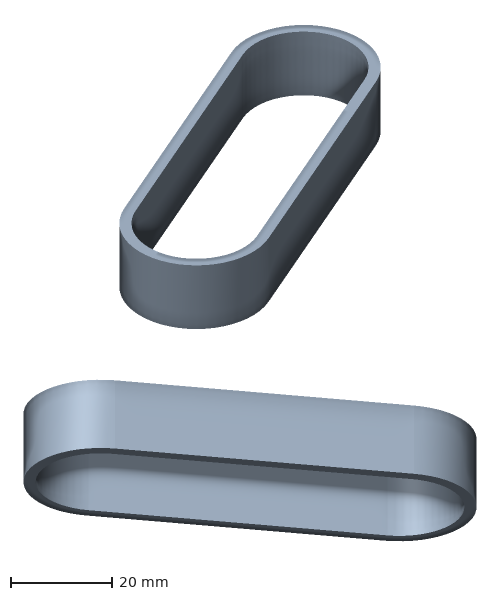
import cadquery as cq

outer_width = 30.41
center_distance = 60.0
wall_thickness = 2.4
height = 15.0

inner_width = outer_width - 2 * wall_thickness


def stadium_prism(width):
    """Round-ended prism along Y, standing on the XY plane."""
    overall_length = center_distance + width
    return cq.Workplane("XY").slot2D(overall_length, width, 90).extrude(height)


result = stadium_prism(outer_width).cut(stadium_prism(inner_width))